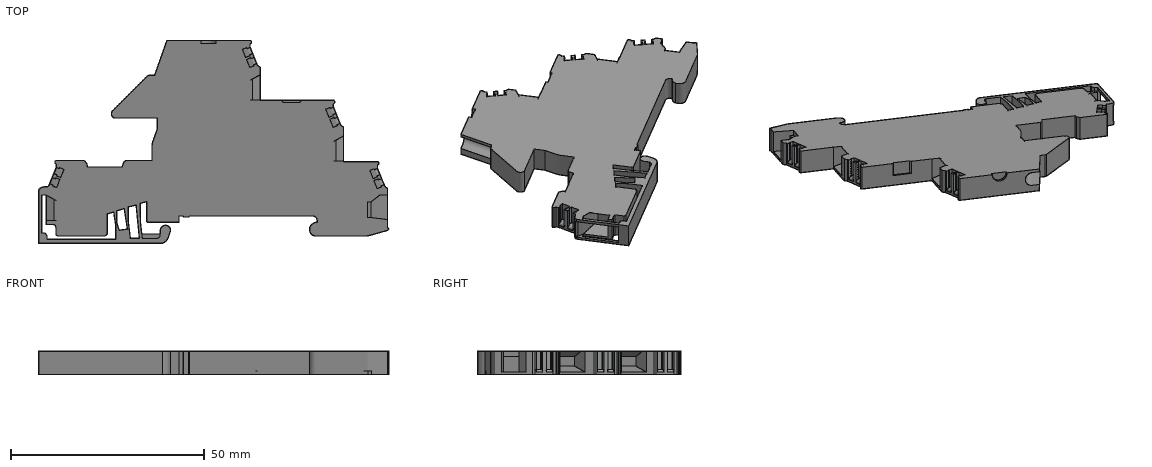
import cadquery as cq
import math

length = 90.5
depth = 52.5
thickness = 6.1

foot_level = 1.9
ledge_level = 5.4
seat_level = 7.1
left_deck = 21.45
left_shoulder = 14.7
right_deck = 21.2
middle_deck = 37.0
arm_level = 32.4
slot_start_y = 2.7
slot_end_y = 12.5
arm_shelf = 43.5

right_wall = 90.2
slant_top_x = 33.1
slant_foot_x = 30.0
slot_outer_x = 0.8
slot_inner_x = 1.9

upper_head = (54.75, depth, 1)
middle_head = (76.3, middle_deck, 1)
lower_head = (87.7, right_deck, 1)
left_head = (4.4, left_deck, -1)
head_edge = [(0, 0), (0.3, -0.3), (0.3, -0.6), (-0.1, -1.0), (-0.1, -1.7), (1.8, -6.4)]
head_reach = 2.5
head_drop = 7.0

face_tilt = 22
first_notch = (0.2, -2.6)
notch_pitch = 2.8
notch_count = 2
mouth_width = 1.7
mouth_depth = 0.8
chamber_width = 2.3
notch_depth = 2.0
notch_overcut = 0.7
skin = 0.6

funnel_length = 5.0
funnel_mouth_width = 6.5
funnel_throat_width = 3.8
funnel_throat_bottom = 2.2
funnel_throat_top = 4.7
funnel_break = 2.0
funnel_offset = 0.1
left_funnel_y = 6.0

groove_diameter = 3.5
groove_height = 3.5


def facing(corner_x, corner_y, direction, points):
    """Place points given relative to a head corner, mirrored for a left head."""
    return [(corner_x + direction * x, corner_y + y) for x, y in points]


def prism(points, bottom, top):
    """Upright block on a closed outline between two heights."""
    return cq.Workplane("XY").workplane(offset=bottom).polyline(points).close().extrude(top - bottom)


def right_terminal_edge(terminal):
    """Head edge listed from the outer wall up to the head corner."""
    points = facing(*terminal, head_edge + [(head_reach, -head_drop)])
    return points[::-1]


def housing():
    """Full-thickness plate with the stepped outline and the latch strap."""
    outline = (
        cq.Workplane("XY")
        .moveTo(0, 0)
        .lineTo(31.95, 0)
        .threePointArc((32.9, 0.6), (33.5, 1.45))
        .lineTo(34.1, 3.35)
        .threePointArc((32.8, 4.7), (31.4, 3.35))
        .lineTo(31.4, 1.9)
        .lineTo(30.8, 1.3)
        .lineTo(26.8, 1.3)
        .lineTo(26.3, 5.4)
        .lineTo(26.2, 10.3)
        .lineTo(27.9, 10.8)
        .lineTo(27.9, ledge_level + 0.3)
        .lineTo(28.15, ledge_level)
        .lineTo(36.3, ledge_level)
        .lineTo(36.3, seat_level)
        .lineTo(37.3, seat_level)
        .lineTo(37.5, seat_level - 0.3)
        .lineTo(38.7, seat_level - 0.3)
        .lineTo(39.0, seat_level)
        .lineTo(70.9, seat_level)
        .threePointArc((71.7, 6.7), (71.95, 6.0))
        .lineTo(71.95, 5.5)
        .threePointArc((70.8, 5.1), (70.05, 4.2))
        .lineTo(70.05, foot_level + 1.45)
        .threePointArc((70.5, foot_level + 0.45), (71.6, foot_level))
        .lineTo(85.1, foot_level)
        .lineTo(right_wall, 3.35)
        .lineTo(length, 3.7)
        .lineTo(right_wall, 4.2)
    )
    for point in right_terminal_edge(lower_head):
        outline = outline.lineTo(*point)
    for terminal, deck in ((middle_head, right_deck), (upper_head, middle_deck)):
        outline = outline.lineTo(terminal[0] + head_reach, deck)
        for point in right_terminal_edge(terminal):
            outline = outline.lineTo(*point)
    outline = (
        outline.lineTo(slant_top_x, depth)
        .lineTo(slant_foot_x, arm_shelf)
        .lineTo(28.6, arm_shelf)
        .lineTo(28.1, 43.3)
        .lineTo(19.0, 34.2)
        .threePointArc((18.8, 33.1), (19.55, arm_level))
        .lineTo(30.6, arm_level)
        .lineTo(30.6, 29.5)
        .lineTo(29.5, 26.4)
        .threePointArc((29.3, 25.7), (29.2, 24.9))
        .lineTo(29.2, left_deck)
        .lineTo(22.5, left_deck)
        .lineTo(22.0, 21.1)
        .lineTo(21.5, 19.8)
        .lineTo(12.6, 19.8)
        .lineTo(12.5, 20.6)
        .lineTo(11.8, left_deck)
    )
    for point in facing(*left_head, head_edge):
        outline = outline.lineTo(*point)
    outline = (
        outline.lineTo(2.35, left_shoulder)
        .lineTo(1.45, left_shoulder)
        .threePointArc((0.5, 14.4), (0, 13.85))
        .close()
    )
    return outline.extrude(thickness)


def latch_openings():
    """Slot behind the latch strap and the gaps between its spring ribs."""
    slot = [
        (slot_outer_x, slot_end_y), (slot_inner_x, slot_end_y), (slot_inner_x, 4.9),
        (3.8, 4.9), (4.25, 4.6), (4.4, 4.0),
        (4.4, foot_level + 0.4), (4.8, foot_level), (17.2, foot_level), (17.7, foot_level + 0.5),
        (17.7, 7.6), (19.4, 8.05), (19.9, 4.3), (19.9, 1.1), (2.2, 1.1), (2.2, 2.0), (1.6, slot_start_y),
        (slot_outer_x, slot_start_y),
    ]
    first_gap = [(20.2, 8.4), (22.1, 9.0), (22.9, 3.7), (20.8, 3.4), (20.2, 5.4)]
    second_gap = [(23.2, 9.4), (25.2, 9.9), (26.0, 1.4), (23.7, 1.4), (23.2, 5.9)]
    cut = prism(slot, 0, thickness)
    for gap in (first_gap, second_gap):
        cut = cut.union(prism(gap, 0, thickness))
    return cut


def strap_shelf():
    """Low shelf between the last spring rib and the hook."""
    shelf_height = 0.8
    return prism([(26.5, 1.1), (31.6, 1.1), (31.6, 2.4), (26.5, 2.4)], 0, shelf_height)


def latch_window():
    """Window through the latch wall, with a sloped end running back into the slot."""
    window_top = 5.3
    window_end = 14.4
    outside = -0.9
    profile = [
        (outside, slot_start_y), (slot_outer_x, slot_start_y), (slot_outer_x, slot_end_y),
        (slot_inner_x, slot_end_y), (0.5, 13.6), (0.3, window_end), (outside, window_end),
    ]
    return prism(profile, skin, window_top)


def marker_notches(terminal):
    """T-shaped notches open at the top; the mouth floors roll down to the slanted face."""
    round_radius = 0.7
    tilt = math.radians(face_tilt)
    profile = [
        (-notch_overcut, -mouth_width / 2),
        (mouth_depth, -mouth_width / 2),
        (mouth_depth, -chamber_width / 2),
        (notch_depth, -chamber_width / 2),
        (notch_depth, chamber_width / 2),
        (mouth_depth, chamber_width / 2),
        (mouth_depth, mouth_width / 2),
        (-notch_overcut, mouth_width / 2),
    ]
    corner_x, corner_y, direction = terminal
    floor = skin + round_radius
    middle_drop = round_radius * (1 - math.cos(math.pi / 4))
    round_middle = (middle_drop, floor - middle_drop)
    cut = cq.Workplane("XY")
    for index in range(notch_count):
        centre_x = first_notch[0] + index * notch_pitch * math.sin(tilt)
        centre_y = first_notch[1] - index * notch_pitch * math.cos(tilt)
        frame = cq.Plane(
            origin=(corner_x + direction * centre_x, corner_y + centre_y, 0),
            xDir=(-direction * math.cos(tilt), -math.sin(tilt), 0),
            normal=(0, 0, 1),
        )
        slot = cq.Workplane(frame).workplane(offset=floor).polyline(profile).close().extrude(thickness)
        rounded_lip = (
            cq.Workplane(frame)
            .transformed(rotate=(90, 0, 0))
            .moveTo(round_radius, floor)
            .lineTo(-notch_overcut, floor)
            .lineTo(-notch_overcut, skin)
            .lineTo(0, skin)
            .threePointArc(round_middle, (round_radius, floor))
            .close()
            .extrude(mouth_width / 2, both=True)
        )
        cut = cut.union(slot).union(rounded_lip)
    return cut


def funnel(mouth_x, bottom_y, direction):
    """Four-sided funnel running inward from an end wall; its wide mouth breaks the top face."""
    roof_slope = (thickness - funnel_throat_top) / (funnel_length - funnel_break)
    mouth_top = thickness + roof_slope * funnel_break
    mouth = [
        (bottom_y, skin),
        (bottom_y + funnel_mouth_width, skin),
        (bottom_y + funnel_mouth_width, mouth_top),
        (bottom_y, mouth_top),
    ]
    throat = [
        (bottom_y, funnel_throat_bottom),
        (bottom_y + funnel_throat_width, funnel_throat_bottom),
        (bottom_y + funnel_throat_width, funnel_throat_top),
        (bottom_y, funnel_throat_top),
    ]
    return (
        cq.Workplane("YZ", origin=(mouth_x, 0, 0))
        .polyline(mouth)
        .close()
        .workplane(offset=-direction * funnel_length)
        .polyline(throat)
        .close()
        .loft(ruled=True)
    )


def right_funnel():
    """Wire opening of the lower right terminal, open at the top over its whole length."""
    opening = [
        (length + 0.9, 6.0), (right_wall, 6.15), (85.9, 6.7), (85.9, 10.7), (88.15, 12.5), (length + 0.9, 12.5),
    ]
    step = [(85.0, 6.7), (86.0, 6.7), (86.0, 10.7), (85.0, 10.7)]
    step_floor = 4.7
    return prism(opening, skin, thickness).union(prism(step, step_floor, thickness))


def middle_deck_notch():
    """Shallow trapezoid notch in the middle deck edge, open at the top face."""
    centre_x = 65.3
    half_top = 2.5
    half_bottom = 2.2
    cut_depth = 0.5
    notch_floor = 2.7
    outline = [
        (centre_x - half_top, middle_deck),
        (centre_x - half_bottom, middle_deck - cut_depth),
        (centre_x + half_bottom, middle_deck - cut_depth),
        (centre_x + half_top, middle_deck),
    ]
    return prism(outline, notch_floor, thickness)


def top_wall_scoop():
    """Shallow half-round scoop in the far end wall, centred on the top face."""
    scoop_diameter = 4.0
    scoop_depth = 0.8
    centre_x = 43.9
    end_wall = cq.Workplane("XZ", origin=(centre_x, depth, thickness))
    return end_wall.circle(scoop_diameter / 2).extrude(scoop_depth)


def wall_groove():
    """Round-bottomed groove along the slanted wall, ending at the arm shelf."""
    axis_depth = 1.8
    overrun = 1.8
    direction = cq.Vector(slant_top_x - slant_foot_x, depth - arm_shelf, 0)
    start = cq.Vector(slant_foot_x, arm_shelf, groove_height) - direction.normalized() * overrun
    groove_length = direction.Length + 2 * overrun
    frame = cq.Plane(origin=start, xDir=(0, 0, 1), normal=direction)
    axis = cq.Workplane(frame).center(0, axis_depth)
    round_bottom = axis.circle(groove_diameter / 2).extrude(groove_length)
    straight_sides = (
        cq.Workplane(frame)
        .center(0, axis_depth - groove_diameter / 2)
        .rect(groove_diameter, groove_diameter)
        .extrude(groove_length)
    )
    above_shelf = cq.Workplane("XY").box(length, depth, thickness, centered=False)
    above_shelf = above_shelf.translate((0, arm_shelf, 0))
    return round_bottom.union(straight_sides).intersect(above_shelf)


def foot_relief():
    """Small setback at the bottom edge where the taper begins, on the end of the right foot."""
    relief_height = 1.0
    return prism([(84.1, foot_level), (85.1, foot_level), (86.0, 2.2)], 0, relief_height)


result = housing().cut(latch_openings()).union(strap_shelf()).cut(latch_window())
for head in (upper_head, middle_head, lower_head, left_head):
    result = result.cut(marker_notches(head))
for head, deck in ((upper_head, middle_deck), (middle_head, right_deck)):
    result = result.cut(funnel(head[0] + head_reach, deck + funnel_offset, 1))
result = result.cut(funnel(slot_inner_x, left_funnel_y, -1)).cut(right_funnel())
result = result.cut(top_wall_scoop()).cut(middle_deck_notch())
result = result.cut(wall_groove()).cut(foot_relief())